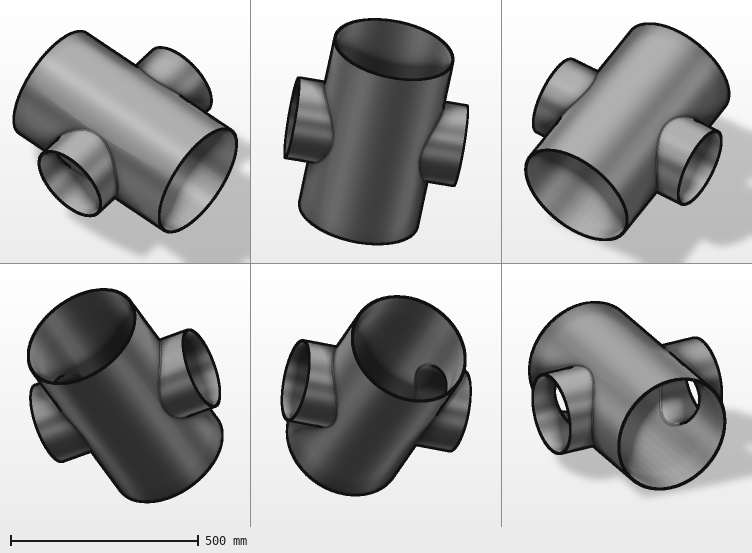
import cadquery as cq

run_length = 508.0
run_outer_diameter = 324.0
wall = 3.0

branch_span = 458.0
branch_outer_diameter = 219.0

outer_junction_radius = wall
inner_junction_radius = outer_junction_radius + wall


def cylinder(plane, diameter, length):
    """Solid cylinder centred on the origin, along the normal of the plane."""
    return cq.Workplane(plane).circle(diameter / 2).extrude(length / 2, both=True)


def rounded_cross(run_diameter, branch_diameter, junction_radius):
    """Crossed run and branch cylinders with filleted junctions."""
    run = cylinder("YZ", run_diameter, run_length)
    branches = cylinder("XZ", branch_diameter, branch_span)
    cross = run.union(branches)
    return cross.edges("%BSPLINE").fillet(junction_radius)


outside = rounded_cross(run_outer_diameter, branch_outer_diameter, outer_junction_radius)
bore = rounded_cross(
    run_outer_diameter - 2 * wall,
    branch_outer_diameter - 2 * wall,
    inner_junction_radius,
)

result = outside.cut(bore)